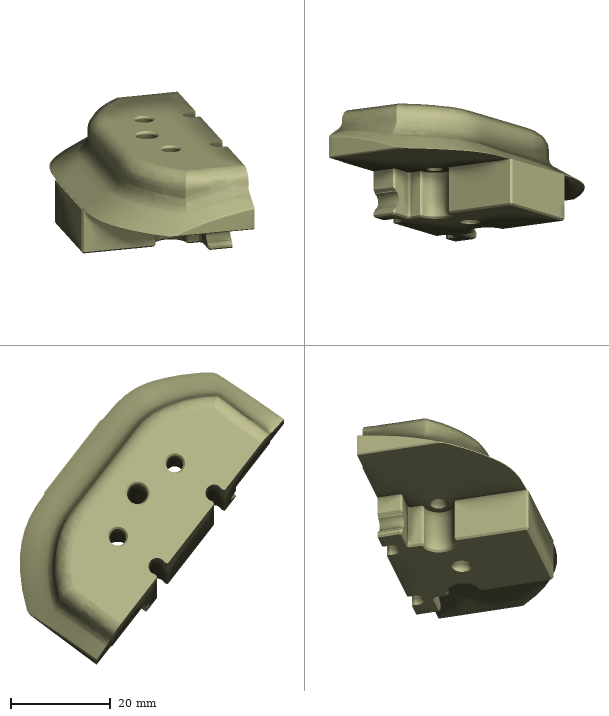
import cadquery as cq
import math


length = 62.2
flange_depth = 29.9
straight_half = 10.0
skirt_angle = 30.0
skirt_top = 7.45
skirt_top_front = flange_depth - skirt_top / math.tan(math.radians(skirt_angle))
skirt_foot_curve = [(straight_half, -flange_depth), (23.65, -25.5), (31.05, -17.9), (39.05, 0)]
skirt_top_curve = [(straight_half, -skirt_top_front), (23.15, -10.4), (26.1, 0)]
skirt_foot_end = (0.36, 0.93)
skirt_top_end = (0.1, 0.99)
end_edge_fillet = 0.5
end_foot_chamfer = 0.25
ear_setback = 0.2

boss_top = 11.1
boss_half = 26.25
boss_front = 22.25
boss_curve = [(straight_half, -boss_front), (18.35, -20.0), (22.2, -17.4), (boss_half, -13.2)]
boss_end = (0.65, 0.76)
blend_radius = 3.1

block_height = 9.4
block_depth = 30.0
block_half = 9.75
wing_half = 14.9
wing_depth = 5.1
block_chamfer = 0.4

groove_diameter = 3.4
groove_z = -6.15
groove_flare = 0.6
groove_mouth_half = 2.35

side_hole_diameter = 3.4
side_hole_x = 9.45
side_hole_y = -11.3
counterbore_diameter = 6.3
centre_hole_diameter = 4.1
centre_hole_y = -13.55
hole_chamfer = 0.4
notch_y = -1.35
notch_mouth = 3.5
notch_neck = 3.05
notch_neck_y = -0.7


def mirrored_outline(curve, end_direction, z):
    """Closed outline at height z: straight front, a curved corner each side, straight back."""
    left = [(-x, y) for x, y in reversed(curve)]
    corner_x, front_y = curve[0]
    end_x, end_y = curve[-1]
    wp = cq.Workplane("XY", origin=(0, 0, z)).moveTo(-corner_x, front_y).lineTo(corner_x, front_y)
    run, rise = end_direction
    wp = wp.spline(curve[1:], tangents=[(1, 0), (run, rise)], includeCurrent=True)
    if end_y < 0:
        wp = wp.lineTo(end_x, 0)
    wp = wp.lineTo(-end_x, 0)
    if end_y < 0:
        wp = wp.lineTo(-end_x, end_y)
    return wp.spline(left[1:], tangents=[(run, -rise), (1, 0)], includeCurrent=True).close()


def edges_within(body, half_width, z_low, z_high):
    """Edges in front of the back face, inside the given half width and height range."""
    back_margin = 0.6
    found = []
    for edge in body.edges().vals():
        box = edge.BoundingBox()
        inside = max(-box.xmin, box.xmax) < half_width and z_low < box.zmin and box.zmax < z_high
        if inside and edge.Center().y < -back_margin:
            found.append(edge)
    return body.newObject(found)


def make_flange():
    foot = mirrored_outline(skirt_foot_curve, skirt_foot_end, 0).wire().val()
    top = mirrored_outline(skirt_top_curve, skirt_top_end, skirt_top).wire().val()
    skirt = cq.Workplane(cq.Solid.makeLoft([foot, top], True))
    trim = cq.Workplane("XY").box(length, 2 * block_depth, 2 * boss_top)
    flange = skirt.intersect(trim)
    for end in ("<X", ">X"):
        flange = flange.faces(end).edges(">Z").fillet(end_edge_fillet)
        flange = flange.faces(end).edges("<Z").chamfer(end_foot_chamfer)
    return flange


def make_cap():
    """Boss on the flange, blended at its foot and rounded along its top rim."""
    boss = mirrored_outline(boss_curve, boss_end, 0).extrude(boss_top)
    cap = make_flange().union(boss)
    cap = edges_within(cap, boss_half + 0.05, 0.6, boss_top - 0.6).fillet(blend_radius)
    cap = cap.faces(">Z").edges("not >Y").fillet(blend_radius)
    ear_width = length / 2 - boss_half
    for side in (-1, 1):
        ear_x = side * (boss_half + ear_width / 2)
        relief = cq.Workplane("XY", origin=(ear_x, 0, boss_top / 2)).box(ear_width, 2 * ear_setback, boss_top)
        cap = cap.cut(relief)
    return cap


def make_groove(side):
    """Round groove along Y with flared lips in the end of the wide part."""
    x = side * wing_half
    radius = groove_diameter / 2
    throat = groove_mouth_half - groove_flare
    inner_x = -side * groove_flare
    groove = cq.Workplane("XZ", origin=(x, 0, groove_z)).circle(radius).extrude(wing_depth)
    flare = (
        cq.Workplane("XZ", origin=(x, 0, groove_z))
        .polyline([(0, groove_mouth_half), (inner_x, throat), (inner_x, -throat), (0, -groove_mouth_half)])
        .close()
        .extrude(wing_depth)
    )
    return groove.union(flare)


def make_block():
    wings = cq.Workplane("XY").box(2 * wing_half, wing_depth, block_height, centered=(True, False, False))
    nose = cq.Workplane("XY").box(2 * block_half, block_depth, block_height, centered=(True, False, False))
    block = wings.translate((0, -wing_depth, -block_height))
    block = block.union(nose.translate((0, -block_depth, -block_height)))
    block = block.faces("<X or >X").edges("|Z and <Y").chamfer(block_chamfer)
    block = block.faces("<Y").edges("|Z").chamfer(block_chamfer)
    for side in (-1, 1):
        block = block.cut(make_groove(side))
        x = side * side_hole_x
        block = block.cut(make_counterbore(x))
        pocket_rims = cq.selectors.BoxSelector(
            (side * block_half - 0.05, side_hole_y - counterbore_diameter, -block_height),
            (side * block_half + 0.05, side_hole_y + counterbore_diameter, 0),
        )
        block = block.edges("|Z").edges(pocket_rims).chamfer(block_chamfer)
    return block.faces("<Z").edges("not >Y").chamfer(block_chamfer)


def make_hole(x, y, diameter):
    """Vertical through hole with a chamfered top rim."""
    radius = diameter / 2
    height = block_height + boss_top
    hole = cq.Workplane("XY", origin=(x, y, -block_height)).circle(radius).extrude(height)
    rim = cq.Workplane(
        cq.Solid.makeCone(radius, radius + hole_chamfer, hole_chamfer, cq.Vector(x, y, boss_top - hole_chamfer))
    )
    return hole.union(rim)


def make_counterbore(x):
    return (
        cq.Workplane("XY", origin=(x, side_hole_y, -block_height))
        .circle(counterbore_diameter / 2)
        .extrude(block_height)
    )


def make_notch(x):
    """Round notch that opens through the back face by a narrowed mouth."""
    height = block_height + boss_top
    base = cq.Workplane("XY", origin=(x, 0, -block_height))
    neck = notch_neck / 2
    mouth = notch_mouth / 2
    throat = [(-mouth, 0), (mouth, 0), (neck, notch_neck_y), (neck, notch_y), (-neck, notch_y), (-neck, notch_neck_y)]
    bore = base.center(0, notch_y).circle(side_hole_diameter / 2).extrude(height)
    return bore.union(base.polyline(throat).close().extrude(height))


result = make_cap().union(make_block())
result = result.cut(make_hole(0, centre_hole_y, centre_hole_diameter))
for hole_x in (-side_hole_x, side_hole_x):
    result = result.cut(make_hole(hole_x, side_hole_y, side_hole_diameter))
    result = result.cut(make_notch(hole_x))